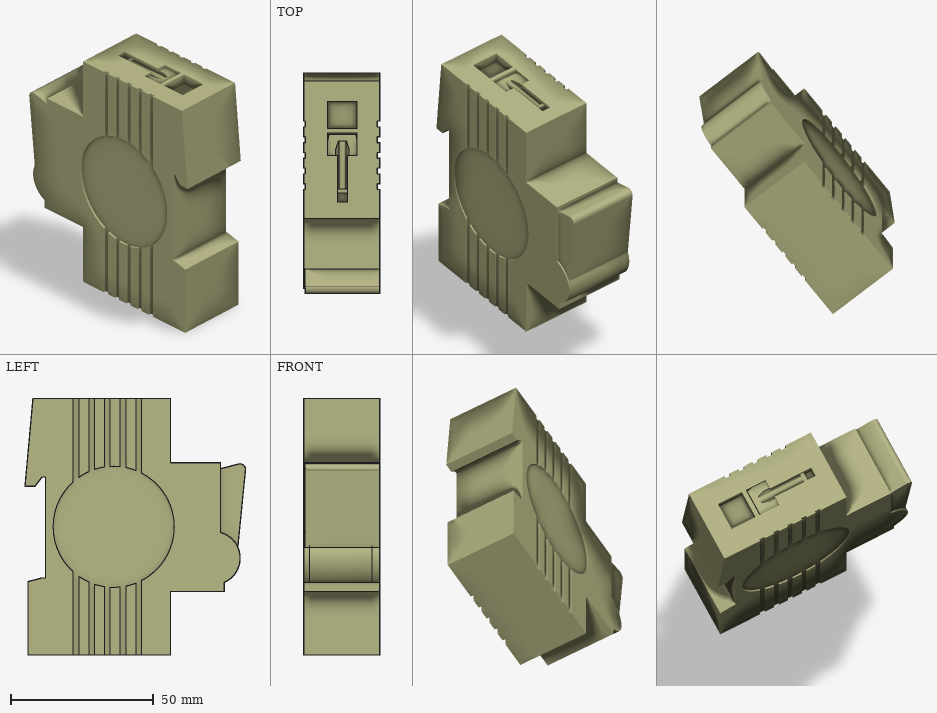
import cadquery as cq


WIDTH = 26.8
HEIGHT = 89.8
TOP_BACK_Y = 48.2
FOOT_BACK_Y = 49.95

RAIL_Y = 43.8
RAIL_TOP_Z = 62.35
HOOK_BACK_Y = 51.0
HOOK_TIP_Y = 47.4
HOOK_Z = 59.1
HOOK_ROOT_Y = 45.0
RAIL_BOTTOM_Z = 27.0
FOOT_TOP_Z = 25.8
FOOT_ROOT_Y = 45.1

NOSE_BOTTOM_Z = 22.3
NOSE_TOP_Z = 67.4
NOSE_Y = -17.5
LIP_Y = -18.8

HINGE_Y = -15.1
HINGE_Z = 34.0
HINGE_RADIUS = 9.25
LEFT_EAR_WIDTH = 2.2
RIGHT_EAR_WIDTH = 2.8
BARREL_LENGTH = WIDTH - LEFT_EAR_WIDTH - RIGHT_EAR_WIDTH

LEFT_RELIEF_DEPTH = 0.6
RIGHT_RELIEF_DEPTH = 0.9
GROOVE_COUNT = 5
GROOVE_WIDTH = 2.0
GROOVE_PITCH = 5.5
GROOVE_MIDDLE_Y = 22.2
RECESS_RADIUS = 21.2
RECESS_Y = 19.9
MIDDLE_Z = HEIGHT / 2

COVER_INSET = LEFT_RELIEF_DEPTH
COVER_TOP_BACK_Z = 65.3
COVER_TIP_Y = -26.5
COVER_TIP_Z = 67.65
COVER_FOOT_Y = -23.4
COVER_FOOT_Z = 35.9
COVER_TIP_RADIUS = 2.0

OPENING_LEFT_X = 8.45
OPENING_WIDTH = 10.3
OPENING_X = OPENING_LEFT_X + OPENING_WIDTH / 2
WINDOW_FRONT_Y = 31.5
WINDOW_BACK_Y = 41.0
OPENING_DEPTH = 3.95
POCKET_FRONT_Y = 22.2
POCKET_BACK_Y = 30.0
SLOT_WIDTH = 3.4
SLOT_FRONT_Y = 5.9

SLIDER_DROP = 1.1
SLIDER_BACK_Y = 29.5
SLIDER_FRONT_Y = 9.1
SLIDER_TAPER_WIDTH = 0.45
SLIDER_TAPER_LENGTH = 2.25

ROD_FRONT_Y = 10.3
ROD_BACK_Y = 27.2
ROD_RADIUS = 1.3
ROD_DROP = 2.3
TROUGH_SHOULDER_Y = 24.3
TROUGH_WIDTH = 4.7
TROUGH_TIP_WIDTH = 2.8


def box(x_min, x_max, y_min, y_max, z_min, z_max):
    """Axis-aligned block between two corners."""
    return cq.Workplane("XY").box(
        x_max - x_min, y_max - y_min, z_max - z_min, centered=False
    ).translate((x_min, y_min, z_min))


def opening(width, y_min, y_max):
    """Rectangular cutter sunk from the top face, centred on the openings."""
    return box(OPENING_X - width / 2, OPENING_X + width / 2, y_min, y_max, HEIGHT - OPENING_DEPTH, HEIGHT)


def hinge_cylinder(x_min, length):
    """Cylinder on the hinge axis, starting at x_min."""
    return (
        cq.Workplane("YZ", origin=(x_min, 0, 0))
        .center(HINGE_Y, HINGE_Z)
        .circle(HINGE_RADIUS)
        .extrude(length)
    )


def make_side_relief(x_min, depth):
    """Grooves and round recess of one side, as a cutter from x_min to x_min + depth."""
    recess = (
        cq.Workplane("YZ", origin=(x_min, 0, 0))
        .center(RECESS_Y, MIDDLE_Z)
        .circle(RECESS_RADIUS)
        .extrude(depth)
    )
    for i in range(GROOVE_COUNT):
        y_mid = GROOVE_MIDDLE_Y + (i - (GROOVE_COUNT - 1) / 2) * GROOVE_PITCH
        recess = recess.union(
            box(x_min, x_min + depth, y_mid - GROOVE_WIDTH / 2, y_mid + GROOVE_WIDTH / 2, 0, HEIGHT)
        )
    return recess


def make_housing():
    """Extruded side outline with hinge ears, side relief and top openings."""
    body = (
        cq.Workplane("YZ")
        .polyline(
            [
                (0, 0),
                (FOOT_BACK_Y, 0),
                (FOOT_BACK_Y, FOOT_TOP_Z),
                (FOOT_ROOT_Y, RAIL_BOTTOM_Z),
                (RAIL_Y, RAIL_BOTTOM_Z),
                (RAIL_Y, RAIL_TOP_Z),
                (HOOK_ROOT_Y, RAIL_TOP_Z),
                (HOOK_TIP_Y, HOOK_Z),
                (HOOK_BACK_Y, HOOK_Z),
                (TOP_BACK_Y, HEIGHT),
                (0, HEIGHT),
                (0, NOSE_TOP_Z),
                (NOSE_Y, NOSE_TOP_Z),
                (NOSE_Y, HINGE_Z),
                (LIP_Y, HINGE_Z),
                (LIP_Y, NOSE_BOTTOM_Z),
                (0, NOSE_BOTTOM_Z),
            ]
        )
        .close()
        .extrude(WIDTH)
    )
    body = body.union(hinge_cylinder(0, WIDTH))
    body = body.cut(hinge_cylinder(LEFT_EAR_WIDTH, BARREL_LENGTH))
    body = body.cut(make_side_relief(0, LEFT_RELIEF_DEPTH))
    body = body.cut(make_side_relief(WIDTH - RIGHT_RELIEF_DEPTH, RIGHT_RELIEF_DEPTH))
    body = body.cut(opening(OPENING_WIDTH, WINDOW_FRONT_Y, WINDOW_BACK_Y))
    body = body.cut(opening(OPENING_WIDTH, POCKET_FRONT_Y, POCKET_BACK_Y))
    return body.cut(opening(SLOT_WIDTH, SLOT_FRONT_Y, POCKET_FRONT_Y))


def make_cover():
    """Wedge-shaped cover with its hinge barrel, which turns between the ears."""
    cover = (
        cq.Workplane("YZ", origin=(COVER_INSET, 0, 0))
        .polyline(
            [
                (NOSE_Y, HINGE_Z),
                (NOSE_Y, COVER_TOP_BACK_Z),
                (COVER_TIP_Y, COVER_TIP_Z),
                (COVER_FOOT_Y, COVER_FOOT_Z),
            ]
        )
        .close()
        .extrude(WIDTH - COVER_INSET)
        .edges("|X and >Z")
        .fillet(COVER_TIP_RADIUS)
    )
    cover = cover.cut(hinge_cylinder(0, WIDTH))
    return cover.union(hinge_cylinder(LEFT_EAR_WIDTH, BARREL_LENGTH))


def make_rod():
    """Round rod along Y."""
    return (
        cq.Workplane("XZ", origin=(OPENING_X, ROD_FRONT_Y, HEIGHT - ROD_DROP))
        .circle(ROD_RADIUS)
        .extrude(ROD_FRONT_Y - ROD_BACK_Y)
    )


def make_slider(rod):
    """T-shaped plate with a trough, in which the rod lies half sunk."""
    half_head = OPENING_WIDTH / 2
    half_tip = half_head - SLIDER_TAPER_WIDTH
    half_stem = SLOT_WIDTH / 2
    plate = (
        cq.Workplane("XY", origin=(OPENING_X, 0, HEIGHT - OPENING_DEPTH))
        .polyline(
            [
                (-half_stem, SLIDER_FRONT_Y),
                (half_stem, SLIDER_FRONT_Y),
                (half_stem, POCKET_FRONT_Y),
                (half_head, POCKET_FRONT_Y),
                (half_head, SLIDER_BACK_Y - SLIDER_TAPER_LENGTH),
                (half_tip, SLIDER_BACK_Y),
                (-half_tip, SLIDER_BACK_Y),
                (-half_head, SLIDER_BACK_Y - SLIDER_TAPER_LENGTH),
                (-half_head, POCKET_FRONT_Y),
                (-half_stem, POCKET_FRONT_Y),
            ]
        )
        .close()
        .extrude(OPENING_DEPTH - SLIDER_DROP)
    )
    half_trough = TROUGH_WIDTH / 2
    half_trough_tip = TROUGH_TIP_WIDTH / 2
    trough = (
        cq.Workplane("XY", origin=(OPENING_X, 0, HEIGHT - SLIDER_DROP))
        .polyline(
            [
                (-half_trough, ROD_FRONT_Y),
                (half_trough, ROD_FRONT_Y),
                (half_trough, TROUGH_SHOULDER_Y),
                (half_trough_tip, ROD_BACK_Y),
                (-half_trough_tip, ROD_BACK_Y),
                (-half_trough, TROUGH_SHOULDER_Y),
            ]
        )
        .close()
        .extrude(SLIDER_DROP - ROD_DROP)
    )
    return plate.cut(trough).cut(rod)


housing = make_housing()
cover = make_cover()
rod = make_rod()
slider = make_slider(rod)

result = cq.Compound.makeCompound([housing.val(), cover.val(), slider.val(), rod.val()])